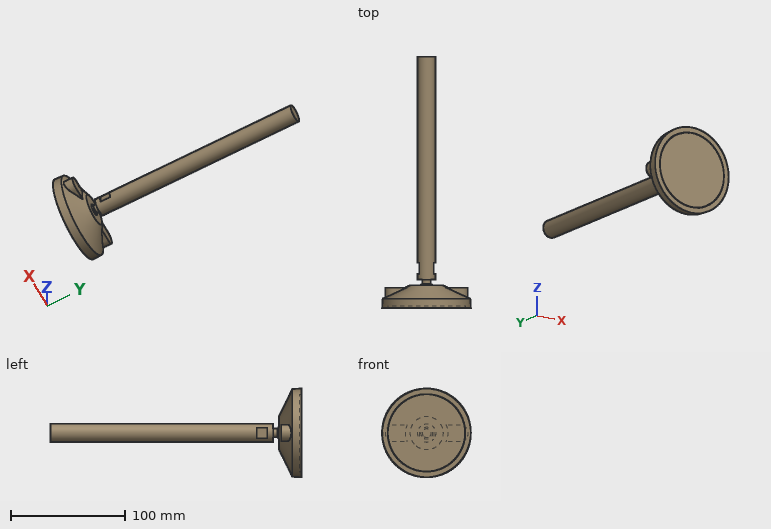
import cadquery as cq

total_length = 220.0

foot_diameter = 78.0
rim_top_diameter = 77.0
rim_height = 8.2
foot_height = 20.0
cone_top_diameter = 29.0
pad_diameter = 67.5
pad_recess_diameter = 68.0
pad_gap_depth = 2.0

lug_width = 14.5
lug_center_offset = 29.0
lug_height = 18.0

rod_diameter = 16.0
rod_start = 25.0
neck_diameter = 7.8
collar_diameter = 10.5
collar_taper_height = (collar_diameter - neck_diameter) / 2

flat_start = 30.0
flat_length = 9.5
across_flats = 13.0


def disc(diameter, start, end):
    """Cylinder on the Y axis between two Y positions."""
    return cq.Workplane("XZ", origin=(0, start, 0)).circle(diameter / 2).extrude(start - end)


def revolve_about_y(profile):
    """Solid of revolution from (radius, Y) points."""
    return cq.Workplane("XY").polyline(profile).close().revolve(360, (0, 0, 0), (0, 1, 0))


def make_foot():
    """Slightly drafted rim and cone, with two round-ended lugs standing on the cone."""
    profile = [
        (0, 0),
        (foot_diameter / 2, 0),
        (rim_top_diameter / 2, rim_height),
        (cone_top_diameter / 2, foot_height),
        (0, foot_height),
    ]
    body = revolve_about_y(profile)
    lugs = (
        cq.Workplane("XZ", origin=(0, rim_height / 2, 0))
        .slot2D(2 * lug_center_offset + lug_width, lug_width)
        .extrude(rim_height / 2 - lug_height)
    )
    return body.union(lugs)


def make_pad_gap():
    """Thin ring of clearance around the pad in the contact face."""
    return disc(pad_recess_diameter, 0, pad_gap_depth).cut(disc(pad_diameter, 0, pad_gap_depth))


def make_spindle():
    """Rod, neck and collar; the collar tapers up to the neck and is embedded in the foot."""
    profile = [
        (0, rim_height),
        (collar_diameter / 2, rim_height),
        (collar_diameter / 2, foot_height),
        (neck_diameter / 2, foot_height + collar_taper_height),
        (neck_diameter / 2, rod_start),
        (rod_diameter / 2, rod_start),
        (rod_diameter / 2, total_length),
        (0, total_length),
    ]
    return revolve_about_y(profile)


def make_flat_cutter(side):
    """Block that mills one spanner flat on the +X or -X side of the rod."""
    center_x = side * (across_flats + rod_diameter) / 2
    center_y = flat_start + flat_length / 2
    block = cq.Workplane("XY").box(rod_diameter, flat_length, rod_diameter)
    return block.translate((center_x, center_y, 0))


spindle = make_spindle()
for side in (-1, 1):
    spindle = spindle.cut(make_flat_cutter(side))

result = make_foot().cut(make_pad_gap()).union(spindle)